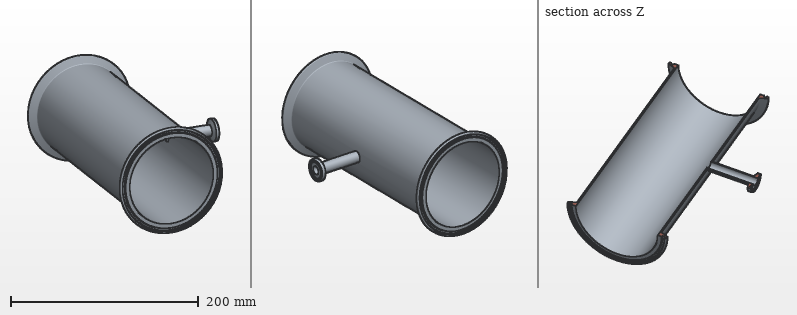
import cadquery as cq
import math

run_length = 241.3
run_outer_radius = 101.5 / 2
run_bore_radius = 97.5 / 2
run_flange_radius = 119.0 / 2
run_rim_thickness = 3.1
run_rim_fillet = 0.7
run_neck_fillet = 1.0
run_groove_radius = 57.2
run_groove_width = 3.5

overall_width = 164.3
branch_outer_radius = 12.8 / 2
branch_bore_radius = 9.5 / 2
branch_flange_radius = 25.0 / 2
branch_rim_thickness = 3.9
branch_rim_fillet = 0.5
branch_groove_radius = 22.0 / 2
branch_groove_width = 2.0
branch_reach = overall_width - run_flange_radius

clamp_slope = math.tan(math.radians(20))
groove_depth_ratio = 0.4
groove_wall_ratio = 0.2
edge_tolerance = 0.02


def neck_height(tube_radius, flange_radius, rim_thickness):
    """Distance from the flange face to where the conical back meets the tube."""
    return rim_thickness + (flange_radius - tube_radius) * clamp_slope


def revolve_about_z(outline):
    """Full revolution of an outline drawn in the XZ plane."""
    return outline.close().revolve(360, (0, 0, 0), (0, 1, 0))


def ferrule_tube(tube_radius, length, flange_radius, rim_thickness):
    """Solid tube along +Z with a clamp flange whose face lies at Z = 0."""
    return revolve_about_z(
        cq.Workplane("XZ")
        .lineTo(flange_radius, 0)
        .lineTo(flange_radius, rim_thickness)
        .lineTo(tube_radius, neck_height(tube_radius, flange_radius, rim_thickness))
        .lineTo(tube_radius, length)
        .lineTo(0, length)
    )


def round_circle(body, height, radius, fillet):
    """Fillet the circular edge of the given radius at Z = height."""
    slice_box = cq.selectors.BoxSelector(
        (-radius - edge_tolerance, -radius - edge_tolerance, height - edge_tolerance),
        (radius + edge_tolerance, radius + edge_tolerance, height + edge_tolerance),
    )
    return body.edges("%CIRCLE").edges(slice_box).fillet(fillet)


def gasket_groove(outer_radius, width):
    """Ring of trapezoidal section, sunk into the Z = 0 face."""
    depth = groove_depth_ratio * width
    wall_run = groove_wall_ratio * width
    inner_radius = outer_radius - width
    return revolve_about_z(
        cq.Workplane("XZ")
        .moveTo(inner_radius, 0)
        .lineTo(inner_radius + wall_run, depth)
        .lineTo(outer_radius - wall_run, depth)
        .lineTo(outer_radius, 0)
    )


def make_run():
    """Main tube, built as one half stood on its flange, laid along X and mirrored."""
    neck = neck_height(run_outer_radius, run_flange_radius, run_rim_thickness)
    half = ferrule_tube(run_outer_radius, run_length / 2, run_flange_radius, run_rim_thickness)
    half = round_circle(half, 0, run_flange_radius, run_rim_fillet)
    half = round_circle(half, run_rim_thickness, run_flange_radius, run_rim_fillet)
    half = round_circle(half, neck, run_outer_radius, run_neck_fillet)
    half = half.cut(gasket_groove(run_groove_radius, run_groove_width))
    half = half.rotate((0, 0, 0), (0, 1, 0), 90).translate((-run_length / 2, 0, 0))
    return half.union(half.mirror("YZ"))


def make_branch():
    """Side tube from the run axis, with its flange face at the +Y end."""
    branch = ferrule_tube(branch_outer_radius, branch_reach, branch_flange_radius, branch_rim_thickness)
    branch = round_circle(branch, 0, branch_flange_radius, branch_rim_fillet)
    branch = branch.cut(gasket_groove(branch_groove_radius, branch_groove_width))
    return branch.rotate((0, 0, 0), (1, 0, 0), 90).translate((0, branch_reach, 0))


run_bore = cq.Workplane("YZ").circle(run_bore_radius).extrude(run_length / 2, both=True)
branch_bore = cq.Workplane("XZ").circle(branch_bore_radius).extrude(-branch_reach)

result = make_run().union(make_branch()).cut(run_bore).cut(branch_bore)